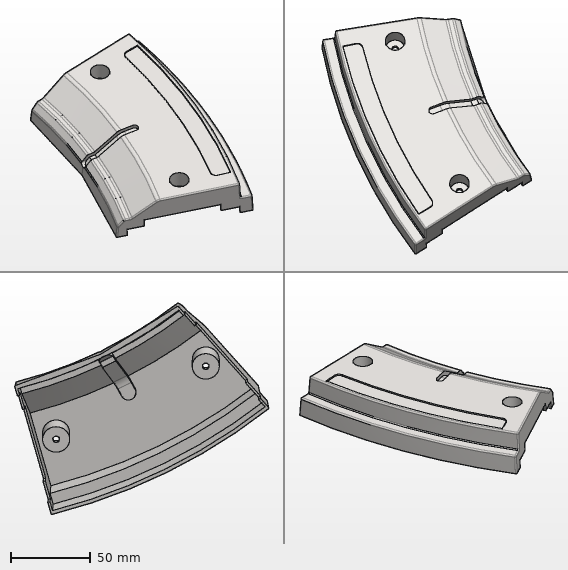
import cadquery as cq
import math

HALF_ANGLE = 12.5
SIDE_DRAFT = 3.0
WIDTH = 154.47
DEPTH = 95.8
HEIGHT = 24.89

END_ROUND = 0.9

SIN_HALF = math.sin(math.radians(HALF_ANGLE))
COS_HALF = math.cos(math.radians(HALF_ANGLE))
CORNER_LOSS = END_ROUND * (SIN_HALF + COS_HALF - 1)
OUTER_R = (WIDTH / 2 + CORNER_LOSS) / SIN_HALF
INNER_R = (OUTER_R - DEPTH - CORNER_LOSS) / COS_HALF

FLANGE_TOP = 12.8
FLANGE_DRAFT = 0.5
BACK_R = OUTER_R - 8.0
BACK_DRAFT = 0.5
SLOPE_TOP_R = INNER_R + 27.6
LEDGE_OUTER_R = INNER_R + 9.8
LEDGE_INNER_R = INNER_R + 5.4
LEDGE_Z = 13.8
NOSE_R = INNER_R + 0.9
NOSE_Z = 9.1
UPPER_SECTION = [
    (OUTER_R - FLANGE_DRAFT, FLANGE_TOP),
    (BACK_R, FLANGE_TOP),
    (BACK_R - BACK_DRAFT, HEIGHT),
    (SLOPE_TOP_R, HEIGHT),
    (LEDGE_OUTER_R, LEDGE_Z),
    (LEDGE_INNER_R, LEDGE_Z),
    (NOSE_R, NOSE_Z),
]
FOOT_TOP = 8.0
SLOPE_ROUND = 5.2
LEDGE_ROUND = 3.0
SMALL_ROUND = 2.0
FLANGE_ROUND = 1.0
FOOT_ROUND = 0.7

WALL = 2.4
END_WALL = 1.5
LOWER_ROOF = 5.1
UPPER_ROOF = 10.3
LOWER_OPENING = (INNER_R + 7.2, INNER_R + 81.0)
UPPER_OPENING = (INNER_R + 18.5, INNER_R + 68.6)

LABEL_OUTER_R = OUTER_R - 11.1
LABEL_INNER_R = OUTER_R - 23.2
LABEL_HALF_ANGLE = 10.4
LABEL_DEPTH = 1.0
LABEL_CORNER = 3.5

SCREW_X = 53.1
SCREW_Y = OUTER_R - 48.5
SCREW_DIA = 4.19
SCREW_HEAD_DIA = 12.29
BOSS_DIA = 17.04
SCREW_SPOTS = [(-SCREW_X, SCREW_Y), (SCREW_X, SCREW_Y)]
SCREW_HEAD_DEPTH = HEIGHT - UPPER_ROOF - WALL

GROOVE_WIDTH = 4.8
GROOVE_DEPTH = 2.6
GROOVE_TIP_R = OUTER_R - 49.7
GROOVE_BOTTOM = 7.2
GROOVE_BLEND = 11.0

SWEEP = 4 * HALF_ANGLE
MARGIN = 50.0
TOLERANCE = 0.01


def polar(radius, angle):
    """Point at a radius and an angle in degrees measured from +Y towards +X."""
    turn = math.radians(angle)
    return (radius * math.sin(turn), radius * math.cos(turn))


def turned(section):
    """Turn a closed (radius, z) section about Z, centred on +Y."""
    ring = section.revolve(SWEEP, (0, 0), (0, 1))
    middle = ring.val().Center()
    return ring.rotate((0, 0, 0), (0, 0, 1), math.degrees(math.atan2(middle.x, middle.y)))


def circle_edges(body, radius, height):
    """Edges of the body that run around Z at the given radius and height."""
    found = []
    for edge in body.edges("%CIRCLE").vals():
        start = edge.startPoint()
        if abs(math.hypot(start.x, start.y) - radius) < TOLERANCE and abs(start.z - height) < TOLERANCE:
            found.append(edge)
    return body.newObject(found)


def ring_body():
    section = cq.Workplane("YZ").polyline([(INNER_R, 0), (OUTER_R, 0)] + UPPER_SECTION).close()
    body = turned(section)
    rounds = [
        (OUTER_R - FLANGE_DRAFT, FLANGE_TOP, FLANGE_ROUND),
        (BACK_R, FLANGE_TOP, FOOT_ROUND),
        (BACK_R - BACK_DRAFT, HEIGHT, FLANGE_ROUND),
        (SLOPE_TOP_R, HEIGHT, SLOPE_ROUND),
        (LEDGE_OUTER_R, LEDGE_Z, LEDGE_ROUND),
        (LEDGE_INNER_R, LEDGE_Z, SMALL_ROUND),
        (NOSE_R, NOSE_Z, SMALL_ROUND),
    ]
    for radius, height, size in rounds:
        body = circle_edges(body, radius, height).fillet(size)
    return body


def wedge(inset=0.0):
    """Space between the two leaning end planes, each moved inwards by the inset."""
    far_y = OUTER_R + MARGIN
    far_x = far_y * math.tan(math.radians(HALF_ANGLE))
    return (
        cq.Workplane("XY", origin=(0, inset / SIN_HALF, 0))
        .polyline([(0, 0), (far_x, far_y), (-far_x, far_y)])
        .close()
        .extrude(HEIGHT, taper=SIDE_DRAFT)
    )


def nose_foot(side):
    """Half of the nose foot: straight along the base, blending up into the turned nose wall."""
    top_r = INNER_R + (NOSE_R - INNER_R) * FOOT_TOP / NOSE_Z
    back_r = INNER_R + WALL / 2
    end_gap = END_ROUND + FOOT_TOP * math.tan(math.radians(SIDE_DRAFT))
    end = side * (HALF_ANGLE - math.degrees(end_gap / INNER_R))
    base_edges = (
        cq.Workplane("XY")
        .moveTo(*polar(INNER_R, end))
        .lineTo(*polar(INNER_R, 0))
        .lineTo(*polar(back_r, 0))
        .threePointArc(polar(back_r, end / 2), polar(back_r, end))
        .close()
    )
    top_edges = (
        cq.Workplane("XY", origin=(0, 0, FOOT_TOP))
        .moveTo(*polar(top_r, end))
        .threePointArc(polar(top_r, end / 2), polar(top_r, 0))
        .lineTo(*polar(back_r, 0))
        .threePointArc(polar(back_r, end / 2), polar(back_r, end))
        .close()
    )
    return cq.Workplane(cq.Solid.makeLoft([base_edges.val(), top_edges.val()], True))


def trim_ends(body):
    """Cut the body to the two end planes and round the new edges."""
    body = body.intersect(wedge())
    end_edges = body.faces("<X or >X").edges().vals()
    return body.newObject([edge for edge in end_edges if edge.Center().z > TOLERANCE]).fillet(END_ROUND)


def cavity():
    """Hollow that leaves an even wall, thickened around the groove and the screw holes."""
    inner_section = (
        cq.Workplane("YZ")
        .polyline([(INNER_R, -WALL), (OUTER_R, -WALL)] + UPPER_SECTION)
        .close()
        .offset2D(-WALL, "intersection")
    )
    bosses = (
        cq.Workplane("XY", origin=(0, 0, UPPER_ROOF))
        .pushPoints(SCREW_SPOTS)
        .circle(BOSS_DIA / 2)
        .extrude(HEIGHT - UPPER_ROOF)
    )
    return turned(inner_section).intersect(wedge(END_WALL)).cut(bosses).cut(groove(WALL))


def end_openings():
    """Stepped openings cut square through both end walls."""
    inward = END_WALL + HEIGHT * math.tan(math.radians(SIDE_DRAFT))
    openings = cq.Workplane("XY")
    for side in (-1, 1):
        for (inner, outer), roof in ((LOWER_OPENING, LOWER_ROOF), (UPPER_OPENING, UPPER_ROOF)):
            block = (
                cq.Workplane("XY")
                .box(2 * inward, outer - inner, roof, centered=(True, False, False))
                .translate((0, inner, 0))
                .rotate((0, 0, 0), (0, 0, 1), -side * HALF_ANGLE)
            )
            openings = openings.add(block)
    return openings.combine()


def label_recess():
    recess = (
        cq.Workplane("XY", origin=(0, 0, HEIGHT - LABEL_DEPTH))
        .moveTo(*polar(LABEL_OUTER_R, -LABEL_HALF_ANGLE))
        .threePointArc((0, LABEL_OUTER_R), polar(LABEL_OUTER_R, LABEL_HALF_ANGLE))
        .lineTo(*polar(LABEL_INNER_R, LABEL_HALF_ANGLE))
        .threePointArc((0, LABEL_INNER_R), polar(LABEL_INNER_R, -LABEL_HALF_ANGLE))
        .close()
        .extrude(LABEL_DEPTH)
    )
    for side in (-1, 1):
        corner = polar(LABEL_INNER_R, side * LABEL_HALF_ANGLE)
        recess = recess.edges(cq.NearestToPointSelector((*corner, HEIGHT))).fillet(LABEL_CORNER)
    return recess


def screw_holes():
    shanks = cq.Workplane("XY").pushPoints(SCREW_SPOTS).circle(SCREW_DIA / 2).extrude(HEIGHT)
    heads = (
        cq.Workplane("XY", origin=(0, 0, HEIGHT - SCREW_HEAD_DEPTH))
        .pushPoints(SCREW_SPOTS)
        .circle(SCREW_HEAD_DIA / 2)
        .extrude(SCREW_HEAD_DEPTH)
    )
    return shanks.union(heads)


def groove(padding=0.0):
    """Groove whose floor runs parallel to deck, slope, ledge and bevel, grown by the padding."""
    depth = GROOVE_DEPTH + padding
    radius = GROOVE_WIDTH / 2 + padding
    tip_r = GROOVE_TIP_R + padding
    bottom = GROOVE_BOTTOM - padding
    slope = math.atan2(HEIGHT - LEDGE_Z, SLOPE_TOP_R - LEDGE_OUTER_R)
    bevel = math.atan2(LEDGE_Z - NOSE_Z, LEDGE_INNER_R - NOSE_R)
    slope_shift = depth * math.tan(slope / 2)
    deck_floor = HEIGHT - depth
    ledge_floor = LEDGE_Z - depth
    crest_r = SLOPE_TOP_R + slope_shift
    bevel_start_r = LEDGE_INNER_R + depth * math.tan(bevel / 2)
    bevel_end_r = bevel_start_r - (ledge_floor - bottom) / math.tan(bevel)
    front_r = INNER_R - MARGIN
    outline = [
        (tip_r, HEIGHT),
        (tip_r, deck_floor),
        (crest_r, deck_floor),
        (LEDGE_OUTER_R + slope_shift, ledge_floor),
        (bevel_start_r, ledge_floor),
        (bevel_end_r, bottom),
        (front_r, bottom),
        (front_r, HEIGHT),
    ]
    band = cq.Workplane("YZ").polyline(outline).close().extrude(radius, both=True)
    crest = cq.NearestToPointSelector((0, crest_r, deck_floor))
    band = band.edges("|X").edges(crest).fillet(GROOVE_BLEND)

    deck_tip = (
        cq.Workplane("XY")
        .moveTo(-radius, front_r)
        .lineTo(-radius, tip_r - radius)
        .threePointArc((0, tip_r), (radius, tip_r - radius))
        .lineTo(radius, front_r)
        .close()
        .extrude(HEIGHT)
    )
    nose_tip = (
        cq.Workplane("XZ")
        .moveTo(-radius, HEIGHT)
        .lineTo(-radius, bottom + radius)
        .threePointArc((0, bottom), (radius, bottom + radius))
        .lineTo(radius, HEIGHT)
        .close()
        .extrude(-OUTER_R)
    )
    return band.intersect(deck_tip).intersect(nose_tip)


result = (
    trim_ends(ring_body())
    .union(nose_foot(-1))
    .union(nose_foot(1))
    .cut(cavity())
    .cut(end_openings())
    .cut(label_recess())
    .cut(screw_holes())
    .cut(groove())
)